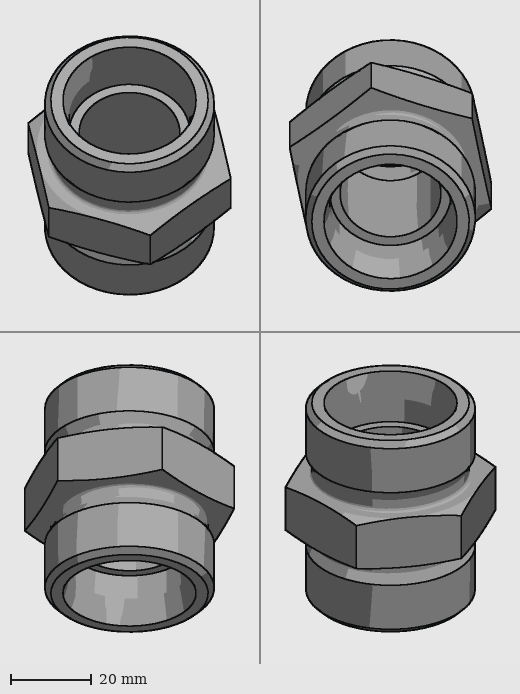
import cadquery as cq
import math

total_length = 54.0
hex_across_flats = 46.0
hex_thickness = 14.0
hex_bevel_angle = 15.0

spigot_diameter = 42.0
spigot_chamfer = 1.5
spigot_length = 13.95
neck_diameter = 39.0
neck_cone_angle = 30.0
neck_cone_fillet = 1.0
hex_root_fillet = 1.1

through_diameter = 25.0
socket_diameter = 30.0
socket_depth = 13.5
mouth_diameter = 33.0
mouth_half_angle = 12.0

half_length = total_length / 2
half_hex = hex_thickness / 2
hex_corner_radius = hex_across_flats / 2 / math.cos(math.radians(30))
spigot_radius = spigot_diameter / 2
neck_radius = neck_diameter / 2


def cone_length(radius_change, half_angle):
    """Axial length of a cone with the given half angle."""
    return radius_change / math.tan(math.radians(half_angle))


def revolve_profile(profile):
    """Turn a closed XZ profile about the Z axis."""
    return profile.close().revolve(360, (0, 0, 0), (0, 1, 0))


def make_hexagon():
    """Hexagon with flats facing X, its corners bevelled by cones at both faces."""
    prism = (
        cq.Workplane("XY")
        .workplane(offset=-half_hex)
        .polygon(6, 2 * hex_corner_radius)
        .extrude(hex_thickness)
        .rotate((0, 0, 0), (0, 0, 1), 30)
    )
    flat_radius = hex_across_flats / 2
    outer_radius = hex_corner_radius + 0.55
    bevel_drop = (outer_radius - flat_radius) * math.tan(math.radians(hex_bevel_angle))
    bevel_envelope = revolve_profile(
        cq.Workplane("XZ")
        .moveTo(0, -half_hex)
        .lineTo(flat_radius, -half_hex)
        .lineTo(outer_radius, -half_hex + bevel_drop)
        .lineTo(outer_radius, half_hex - bevel_drop)
        .lineTo(flat_radius, half_hex)
        .lineTo(0, half_hex)
    )
    return prism.intersect(bevel_envelope)


def make_upper_spigot():
    """Chamfered spigot with a conical undercut and a filleted neck above the hexagon."""
    cone_top = half_length - spigot_length
    cone_bottom = cone_top - cone_length(spigot_radius - neck_radius, neck_cone_angle)

    angle = math.radians(neck_cone_angle)
    tangent_length = neck_cone_fillet * math.tan(angle / 2)
    fillet_start_z = cone_bottom - tangent_length
    fillet_center_radius = neck_radius + neck_cone_fillet

    def fillet_point(turn):
        return (
            fillet_center_radius - neck_cone_fillet * math.cos(turn),
            fillet_start_z + neck_cone_fillet * math.sin(turn),
        )

    root_offset = hex_root_fillet * (1 - math.sqrt(0.5))

    return revolve_profile(
        cq.Workplane("XZ")
        .lineTo(neck_radius + hex_root_fillet, 0)
        .lineTo(neck_radius + hex_root_fillet, half_hex)
        .threePointArc(
            (neck_radius + root_offset, half_hex + root_offset),
            (neck_radius, half_hex + hex_root_fillet),
        )
        .lineTo(neck_radius, fillet_start_z)
        .threePointArc(fillet_point(angle / 2), fillet_point(angle))
        .lineTo(spigot_radius, cone_top)
        .lineTo(spigot_radius, half_length - spigot_chamfer)
        .lineTo(spigot_radius - spigot_chamfer, half_length)
        .lineTo(0, half_length)
    )


def make_upper_bore():
    """Upper half of the bore: through hole, flat-bottomed socket and conical mouth."""
    through_radius = through_diameter / 2
    socket_radius = socket_diameter / 2
    mouth_radius = mouth_diameter / 2
    mouth_depth = cone_length(mouth_radius - socket_radius, mouth_half_angle)
    return revolve_profile(
        cq.Workplane("XZ")
        .lineTo(through_radius, 0)
        .lineTo(through_radius, half_length - socket_depth)
        .lineTo(socket_radius, half_length - socket_depth)
        .lineTo(socket_radius, half_length - mouth_depth)
        .lineTo(mouth_radius, half_length)
        .lineTo(0, half_length)
    )


upper_spigot = make_upper_spigot()
upper_bore = make_upper_bore()

result = (
    make_hexagon()
    .union(upper_spigot)
    .union(upper_spigot.mirror("XY"))
    .cut(upper_bore)
    .cut(upper_bore.mirror("XY"))
)